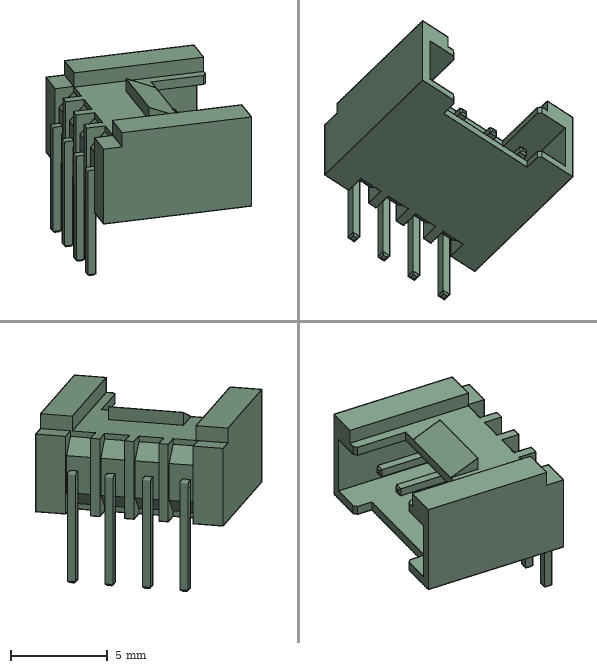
import cadquery as cq

width = 10.0
depth = 8.0
height = 5.0
deck_height = 4.2
rail_width = 1.7
rail_setback = 1.0

side_wall = 0.5
shell_wall = 0.5
cavity_back = 2.0

mouth_width = 5.56
mouth_chamfer = 0.17
roof_edge = 5.0
floor_edge = 7.0

wedge_width = 4.0
wedge_height = 0.7
wedge_front = 3.4

pin_count = 4
pitch = 2.0
pin_size = 0.44
pin_projection = 0.3
pin_drop = 3.62
pin_tip_y = 6.5
pin_axis_z = deck_height / 2
tip_chamfer = 0.1
bend_radius = 0.1

rib_width = 0.5
recess_span = 6.8
recess_back = 1.0
recess_front = 0.2
face_height = 2.0
slope_rise = recess_back - recess_front
recess_width = (recess_span - (pin_count - 1) * rib_width) / pin_count


def box(x_size, y_start, y_end, z_start, z_end, x_center=0.0):
    """Block centred on x_center, spanning the given Y and Z ranges."""
    block = cq.Workplane("XY").box(x_size, y_end - y_start, z_end - z_start, centered=(True, False, False))
    return block.translate((x_center, y_start, z_start))


def extrude_profile(points, x_size, x_center=0.0):
    """Extrude a YZ outline along X, centred on x_center."""
    profile = cq.Workplane("YZ").polyline(points).close().extrude(x_size / 2, both=True)
    return profile.translate((x_center, 0, 0))


def centered_positions(count, spacing):
    return [(i - (count - 1) / 2) * spacing for i in range(count)]


def make_shell():
    shell = box(width, 0, depth, 0, deck_height)
    for side in (-1, 1):
        rail_center = side * (width - rail_width) / 2
        shell = shell.union(box(rail_width, rail_setback, depth, 0, height, rail_center))
    cavity = box(width - 2 * side_wall, cavity_back, depth, shell_wall, deck_height - shell_wall)
    return shell.cut(cavity)


def mouth_cutter(edge_y, z_start, z_end):
    """Rectangular opening that flares at the mating end."""
    half = mouth_width / 2
    outline = [
        (-half, edge_y),
        (half, edge_y),
        (half, depth - mouth_chamfer),
        (half + mouth_chamfer, depth),
        (-half - mouth_chamfer, depth),
        (-half, depth - mouth_chamfer),
    ]
    cutter = cq.Workplane("XY").polyline(outline).close().extrude(z_end - z_start)
    return cutter.translate((0, 0, z_start))


def make_wedge():
    outline = [
        (wedge_front, deck_height),
        (wedge_front, deck_height + wedge_height),
        (roof_edge, deck_height),
    ]
    return extrude_profile(outline, wedge_width)


def recess_cutter(x_center):
    """Front recess that leaves a sloped boss behind the contact."""
    face_top = pin_axis_z + face_height / 2
    face_bottom = pin_axis_z - face_height / 2
    outline = [
        (0, 0),
        (recess_back, 0),
        (recess_back, face_bottom - slope_rise),
        (recess_front, face_bottom),
        (recess_front, face_top),
        (recess_back, face_top + slope_rise),
        (recess_back, deck_height),
        (0, deck_height),
    ]
    return extrude_profile(outline, recess_width, x_center)


def make_pin(x_center):
    """Right-angle square contact with chamfered tips and a rounded outer bend."""
    front = -pin_projection
    top = pin_axis_z + pin_size / 2
    leg = box(pin_size, front, front + pin_size, -pin_drop, top, x_center)
    leg = leg.faces("<Z").chamfer(tip_chamfer)
    leg = leg.edges("|X and >Z and <Y").fillet(bend_radius)
    arm_start = front + pin_size / 2
    arm = box(pin_size, arm_start, pin_tip_y, top - pin_size, top, x_center)
    arm = arm.faces(">Y").chamfer(tip_chamfer)
    return leg.union(arm)


result = make_shell()
result = result.cut(mouth_cutter(roof_edge, deck_height - shell_wall, deck_height))
result = result.cut(mouth_cutter(floor_edge, 0, shell_wall))
result = result.union(make_wedge())
for recess_x in centered_positions(pin_count, recess_width + rib_width):
    result = result.cut(recess_cutter(recess_x))
for pin_x in centered_positions(pin_count, pitch):
    result = result.union(make_pin(pin_x))